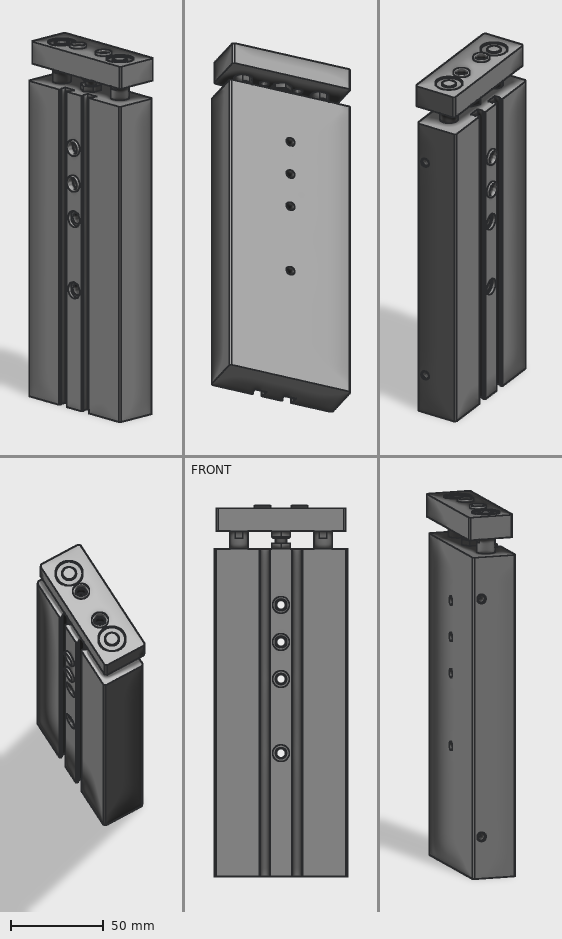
import cadquery as cq
import math


housing_width = 72.0
housing_height = 177.0
housing_front = -12.6
housing_back = 12.0
housing_edge_chamfer = 1.0

slot_center_x = 8.7
slot_mouth_width = 5.0
slot_mouth_chamfer = 0.5
slot_lip = 1.0
slot_inner_width = 7.0
slot_wall_depth = 2.5
slot_depth = 5.3

land_hole_heights = [66.7, 106.7, 126.7, 146.7]
sleeved_land_heights = land_hole_heights[2:]

port_heights = [23.0, 154.0]
port_y = 7.0
port_diameter = 5.0
port_core_diameter = 4.13
port_thread_depth = 1.0
port_depth = 8.0
drill_point_angle = 118.0

plate_gap = 9.6
plate_bottom = housing_height + plate_gap
plate_thickness = 12.4
plate_top = plate_bottom + plate_thickness
plate_width = 70.0
plate_front = -11.3
plate_back = 13.8
plate_edge_chamfer = 1.0
plate_sleeve_spacing = 20.0

rod_spacing = 45.5
rod_diameter = 10.0
rod_flat_width = 9.1
rod_flat_height = 4.0
rod_bore_depth = 20.0
rod_head_diameter = 15.0
rod_head_height = 3.0
rod_head_chamfer = 0.5
rod_head_recess = 0.6
rod_tip_diameter = 8.0
rod_tip_chamfer = 0.5

nut_width = 10.0
nut_corner_diameter = nut_width / math.cos(math.radians(30))
nut_height = 3.8
screw_head_height = 3.0
screw_diameter = 6.0
nut_chamfer = 0.8

thread_diameter = 6.0
thread_core_diameter = 4.92
thread_depth = 8.0
sleeve_diameter = 9.0
sleeve_bore = 6.4
sleeve_proud = 1.4
sleeve_seat_depth = 2.1


def revolve_profile(points):
    """Revolve an (r, z) outline about the Z axis."""
    return cq.Workplane("XZ").polyline(points).close().revolve(360, (0, 0, 0), (0, 1, 0))


def turn_to_front(solid):
    """Turn a feature whose axis points to +Z so that it points to -Y."""
    return solid.rotate((0, 0, 0), (1, 0, 0), 90)


def sleeve_seat(through_depth):
    """Cutter below Z = 0: sleeve counterbore, thread and core hole."""
    counterbore = cq.Workplane("XY").circle(sleeve_diameter / 2).extrude(-sleeve_seat_depth)
    thread = cq.Workplane("XY").circle(thread_diameter / 2).extrude(-thread_depth)
    core = cq.Workplane("XY").circle(thread_core_diameter / 2).extrude(-through_depth)
    return counterbore.union(thread).union(core)


def make_sleeve():
    """Centring sleeve seated below Z = 0, standing proud above it with a fully rounded end."""
    outer = sleeve_diameter / 2
    bore = sleeve_bore / 2
    crown_radius = (outer - bore) / 2
    shoulder = sleeve_proud - crown_radius
    return (
        cq.Workplane("XZ")
        .moveTo(bore, -sleeve_seat_depth)
        .lineTo(outer, -sleeve_seat_depth)
        .lineTo(outer, shoulder)
        .threePointArc((outer - crown_radius, sleeve_proud), (bore, shoulder))
        .close()
        .revolve(360, (0, 0, 0), (0, 1, 0))
    )


def make_slot(center_x):
    """Undercut slot running the full housing height."""
    half_profile = [
        (slot_mouth_width / 2 + slot_mouth_chamfer, 0),
        (slot_mouth_width / 2, slot_mouth_chamfer),
        (slot_mouth_width / 2, slot_lip),
        (slot_inner_width / 2, slot_wall_depth),
        (slot_inner_width / 2, slot_depth),
    ]
    outline = half_profile + [(-x, y) for x, y in reversed(half_profile)]
    slot = cq.Workplane("XY").polyline(outline).close().extrude(housing_height)
    return slot.translate((center_x, housing_front, 0))


def make_port(height):
    """Threaded blind port with a drill point, bored from the -X side."""
    core = port_core_diameter / 2
    point_length = core / math.tan(math.radians(drill_point_angle / 2))
    port = revolve_profile([
        (0, 0),
        (port_diameter / 2, 0),
        (port_diameter / 2, port_thread_depth),
        (core, port_thread_depth),
        (core, port_depth),
        (0, port_depth + point_length),
    ])
    return port.rotate((0, 0, 0), (0, 1, 0), 90).translate((-housing_width / 2, port_y, height))


def make_housing(rods):
    depth = housing_back - housing_front
    housing = (
        cq.Workplane("XY")
        .center(0, (housing_front + housing_back) / 2)
        .rect(housing_width, depth)
        .extrude(housing_height)
        .edges("|Z").chamfer(housing_edge_chamfer)
    )
    for side in (-1, 1):
        housing = housing.cut(make_slot(side * slot_center_x))
    for height in land_hole_heights:
        housing = housing.cut(turn_to_front(sleeve_seat(depth)).translate((0, housing_front, height)))
    for height in port_heights:
        housing = housing.cut(make_port(height))
    for rod in rods:
        housing = housing.cut(rod)
    return housing


def make_rod(center_x):
    """Piston rod with wrench flats, ending in the plate with a round head and a narrower tip."""
    rod_radius = rod_diameter / 2
    head_radius = rod_head_diameter / 2
    tip_radius = rod_tip_diameter / 2
    rod_end = housing_height - rod_bore_depth
    head_top = plate_top - rod_head_recess
    head_bottom = plate_top - rod_head_height
    rod = revolve_profile([
        (0, rod_end),
        (rod_radius, rod_end),
        (rod_radius, head_bottom),
        (head_radius, head_bottom),
        (head_radius, head_top - rod_head_chamfer),
        (head_radius - rod_head_chamfer, head_top),
        (tip_radius, head_top),
        (tip_radius, plate_top - rod_tip_chamfer),
        (tip_radius - rod_tip_chamfer, plate_top),
        (0, plate_top),
    ])
    flats = (
        cq.Workplane("XY", origin=(0, 0, plate_bottom - rod_flat_height))
        .rect(rod_diameter * 2, rod_diameter * 2)
        .rect(rod_diameter * 2, rod_flat_width)
        .extrude(rod_flat_height)
    )
    return rod.cut(flats).translate((center_x, 0, 0))


def make_rod_hole(center_x):
    """Cutter for the rod's hole in the plate, stepped to take the head."""
    hole = (
        cq.Workplane("XY", origin=(0, 0, plate_bottom))
        .circle(rod_diameter / 2)
        .extrude(plate_thickness)
    )
    head_seat = (
        cq.Workplane("XY", origin=(0, 0, plate_top - rod_head_height))
        .circle(rod_head_diameter / 2)
        .extrude(rod_head_height)
    )
    return hole.union(head_seat).translate((center_x, 0, 0))


def make_hexagon(bottom, height):
    """Hexagon with its corners facing front and back."""
    return (
        cq.Workplane("XY", origin=(0, 0, bottom))
        .polygon(6, nut_corner_diameter)
        .extrude(height)
        .rotate((0, 0, 0), (0, 0, 1), 30)
    )


def make_stop_screw():
    """Screw hanging from the plate, with a lock nut above and a hexagon head on the housing."""
    nut = make_hexagon(plate_bottom - nut_height, nut_height).faces("<Z").chamfer(nut_chamfer)
    shaft = cq.Workplane("XY", origin=(0, 0, housing_height)).circle(screw_diameter / 2).extrude(plate_gap)
    head = make_hexagon(housing_height, screw_head_height)
    return shaft.union(nut).union(head)


def make_plate():
    plate = (
        cq.Workplane("XY", origin=(0, 0, plate_bottom))
        .center(0, (plate_front + plate_back) / 2)
        .rect(plate_width, plate_back - plate_front)
        .extrude(plate_thickness)
        .edges("|Z").chamfer(plate_edge_chamfer)
    )
    for side in (-1, 1):
        seat = sleeve_seat(plate_thickness)
        plate = plate.cut(seat.translate((side * plate_sleeve_spacing / 2, 0, plate_top)))
        plate = plate.cut(make_rod_hole(side * rod_spacing / 2))
    return plate.union(make_stop_screw())


rods = [make_rod(side * rod_spacing / 2) for side in (-1, 1)]
housing = make_housing(rods)
plate = make_plate()
plate_sleeves = [
    make_sleeve().translate((side * plate_sleeve_spacing / 2, 0, plate_top)) for side in (-1, 1)
]
land_sleeves = [
    turn_to_front(make_sleeve()).translate((0, housing_front, height)) for height in sleeved_land_heights
]

bodies = [housing, plate] + rods + plate_sleeves + land_sleeves
result = cq.Compound.makeCompound([body.val() for body in bodies])